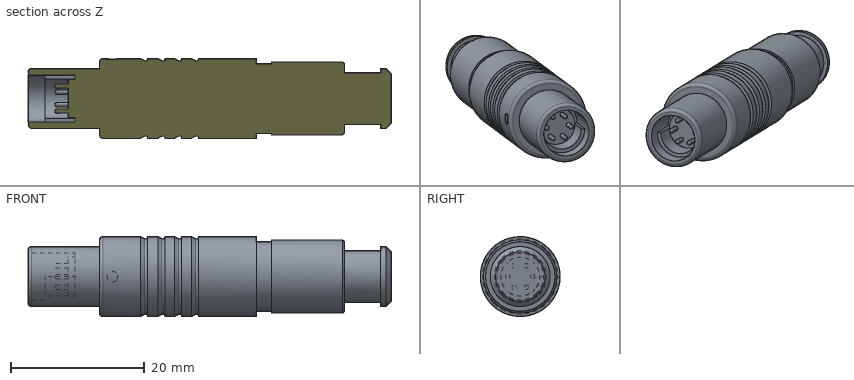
import cadquery as cq
import math

LENGTH = 54.5
BODY_START = 10.7
BODY_END = 34.25
SLEEVE_START = 36.5
SLEEVE_END = 47.5
FLANGE_START = 52.9

PLUG_RADIUS = 4.5
BODY_RADIUS = 6.0
NECK_RADIUS = 5.25
SLEEVE_RADIUS = 5.5
TAIL_RADIUS = 3.9
FLANGE_RADIUS = 4.5

EDGE_FILLET = 0.5
SLEEVE_CHAMFER = 0.3
FLANGE_CHAMFER = 0.8

GROOVE_STARTS = (16.85, 19.45, 21.95, 24.5)
GROOVE_WIDTH = 1.05
GROOVE_DEPTH = 0.35
GROOVE_RAMP_LENGTH = 0.6
GROOVE_RAMP_DEPTH = 0.3
GROOVE_BOTTOM_OFFSET = 0.8

BORE_RADIUS = 3.5
BORE_DEPTH = 7.0
INSULATOR_RADIUS = 2.9
INSULATOR_HEIGHT = 1.0
INSULATOR_FACE = BORE_DEPTH - INSULATOR_HEIGHT

SHELL_START = 2.5
SHELL_INNER_RADIUS = 2.95

PIN_COUNT = 6
PIN_CIRCLE_RADIUS = 1.88
PIN_RADIUS = 0.33
PIN_LENGTH = 2.0

MARK_POSITION = 12.65
MARK_RADIUS = 0.8
MARK_DEPTH = 0.1


def section(start, end, radius):
    """Cylinder about the X axis between two stations."""
    return cq.Workplane("YZ", origin=(start, 0, 0)).circle(radius).extrude(end - start)


def outer_body():
    plug = section(0, BODY_START, PLUG_RADIUS).faces("<X").edges().fillet(EDGE_FILLET)
    body = section(BODY_START, BODY_END, BODY_RADIUS).faces("<X").edges().fillet(EDGE_FILLET)
    neck = section(BODY_END, SLEEVE_START, NECK_RADIUS)
    sleeve = section(SLEEVE_START, SLEEVE_END, SLEEVE_RADIUS).faces(">X").edges().chamfer(SLEEVE_CHAMFER)
    tail = section(SLEEVE_END, FLANGE_START, TAIL_RADIUS)
    flange = section(FLANGE_START, LENGTH, FLANGE_RADIUS).faces(">X").edges().chamfer(FLANGE_CHAMFER)
    return plug.union(body).union(neck).union(sleeve).union(tail).union(flange)


def grip_groove(start):
    ramp_end = (start + GROOVE_RAMP_LENGTH, BODY_RADIUS - GROOVE_RAMP_DEPTH)
    bottom = (start + GROOVE_BOTTOM_OFFSET, BODY_RADIUS - GROOVE_DEPTH)
    far_edge = (start + GROOVE_WIDTH, BODY_RADIUS)
    return (
        cq.Workplane("XY")
        .moveTo(start, BODY_RADIUS)
        .lineTo(*ramp_end)
        .threePointArc(bottom, far_edge)
        .close()
        .revolve(360, (0, 0, 0), (1, 0, 0))
    )


def half_shell():
    length = BORE_DEPTH - SHELL_START
    ring = section(SHELL_START, BORE_DEPTH, BORE_RADIUS).cut(
        section(SHELL_START, BORE_DEPTH, SHELL_INNER_RADIUS)
    )
    lower_half = cq.Workplane("XY", origin=(SHELL_START, 0, -BORE_RADIUS)).box(
        length, 2 * BORE_RADIUS, BORE_RADIUS, centered=(False, True, False)
    )
    return ring.intersect(lower_half)


def contact_pin(angle):
    tip_center = INSULATOR_FACE - PIN_LENGTH + PIN_RADIUS
    y = PIN_CIRCLE_RADIUS * math.cos(angle)
    z = PIN_CIRCLE_RADIUS * math.sin(angle)
    shank = section(tip_center, INSULATOR_FACE, PIN_RADIUS)
    tip = cq.Workplane("XY").sphere(PIN_RADIUS).translate((tip_center, 0, 0))
    return shank.union(tip).translate((0, y, z))


def index_mark():
    return (
        cq.Workplane("XZ", origin=(MARK_POSITION, BODY_RADIUS, 0))
        .circle(MARK_RADIUS)
        .extrude(MARK_DEPTH)
    )


result = outer_body()
for groove_start in GROOVE_STARTS:
    result = result.cut(grip_groove(groove_start))
result = result.cut(index_mark())
result = result.cut(section(0, BORE_DEPTH, BORE_RADIUS))
result = result.union(section(INSULATOR_FACE, BORE_DEPTH, INSULATOR_RADIUS))
result = result.union(half_shell())
for pin_index in range(PIN_COUNT):
    result = result.union(contact_pin(2 * math.pi * pin_index / PIN_COUNT))